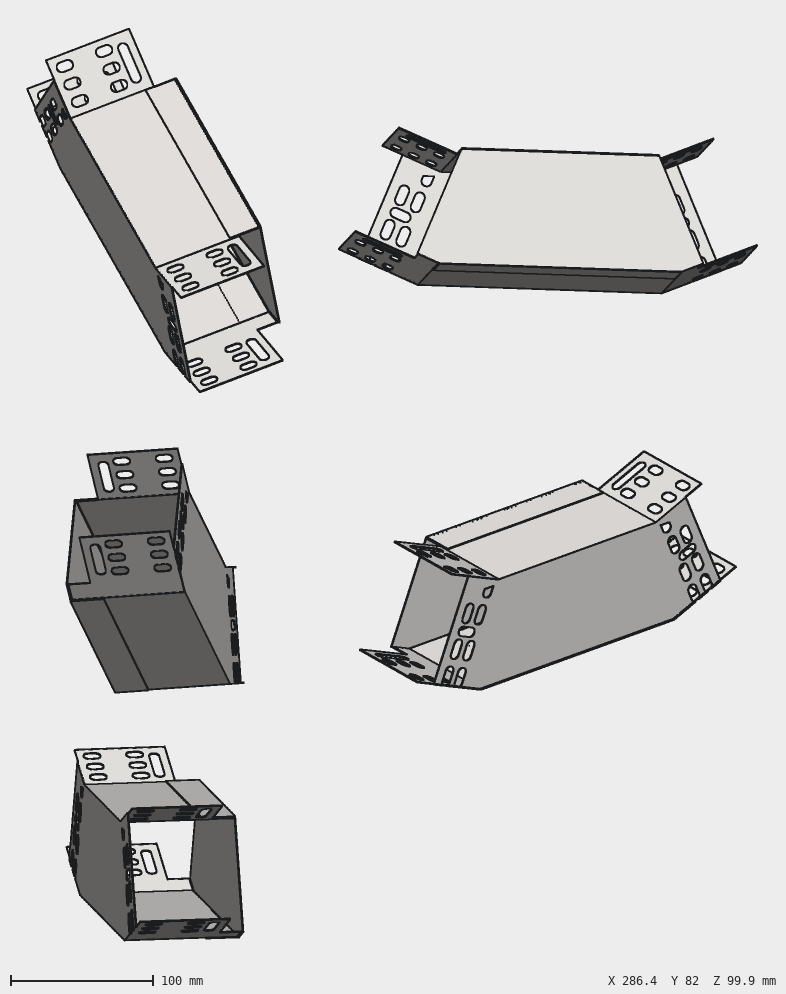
import cadquery as cq
import math


length = 286.4
sheet = 0.77
height = 82.0
depth = 80.5
half_base = 86.8
end_angle = 22.5

web_end = 45.5
wall_end = 15.5

tab_depth = 65.0

cover_back = 82.0
lip_start = 58.0
lip_setback = 0.5

slot_width = 7.2
web_slot_length = 15.0
tab_slot_length = 12.0
long_slot_length = 30.0

web_column_setback = 11.0
web_column_pitch = 12.0
cross_slot_setback = 15.2
inner_row = 13.5
outer_row = 33.8
corner_slot_top = 78.0

tab_column_setback = 8.5
tab_column_pitch = 13.5
tab_columns = 3
tab_row_depths = (11.7, 42.0)
long_slot_setback = 23.0
long_slot_depth = 55.5

cos_end = math.cos(math.radians(end_angle))
sin_end = math.sin(math.radians(end_angle))
miter = math.tan(math.radians(end_angle / 2))
tab_end = (length / 2 - half_base) / cos_end
cover_face = cover_back - sheet
plate_end = height * miter
half_top = half_base - plate_end
mid_height = height / 2
clearance = 5.7


def at(along, across):
    """XZ point of the left end section: along the slope from the bottom bend, and square to it."""
    return (-half_base - along * cos_end + across * sin_end, along * sin_end + across * cos_end)


def prism(points, y_start, y_end):
    """Extrude a closed XZ outline between two Y positions."""
    outline = cq.Workplane("XZ", origin=(0, y_start, 0)).polyline(points).close()
    return outline.extrude(y_start - y_end)


def with_mirror(shape):
    """Add the copy of a shape on the other side of X = 0."""
    return shape.union(shape.mirror("YZ"))


def band(low, high, end, y_start, y_end):
    """Bent layer between two heights, reaching the given distance along both end sections."""
    left = [at(low * miter, low), at(end, low), at(end, high), at(high * miter, high)]
    right = [(-x, z) for x, z in reversed(left)]
    return prism(left + right, y_start, y_end)


def beyond(end, y_start):
    """Tool clearing both end sections past the given distance along them, behind the given Y."""
    far = tab_end + clearance
    low = -clearance
    high = height + clearance
    points = [at(end, low), at(far, low), at(far, high), at(end, high)]
    return with_mirror(prism(points, y_start, depth + clearance))


def web_slot(along, across, slot_length, lean):
    """Slot tool through the web; lean 0 lies along the end section, 90 stands square to it."""
    x, z = at(along, across)
    sketch = cq.Workplane("XZ", origin=(x, -clearance, z)).slot2D(slot_length, slot_width, lean - end_angle)
    return sketch.extrude(-2 * clearance)


def web_slots():
    """All slots of the left web end."""
    outer = web_end - web_column_setback
    inner = outer - web_column_pitch
    slots = web_slot(web_end - cross_slot_setback, mid_height, web_slot_length, 0)
    for along in (outer, inner):
        for row in (-outer_row, -inner_row, inner_row):
            slots = slots.union(web_slot(along, mid_height + row, web_slot_length, 90))
    corner = web_slot(inner, mid_height + outer_row, web_slot_length, 90)
    below_top = cq.Workplane("XY").box(4 * half_base, depth, corner_slot_top, centered=(True, True, False))
    return slots.union(corner.intersect(below_top))


def tab_slot(setback, y, slot_length, turn):
    """Slot tool through the upper and lower left tabs; turn 0 lies along the end section."""
    x, z = at(tab_end - setback, -clearance)
    plane = cq.Plane(origin=(x, y, z), xDir=(-cos_end, 0, sin_end), normal=(sin_end, 0, cos_end))
    return cq.Workplane(plane).slot2D(slot_length, slot_width, turn).extrude(height + 2 * clearance)


def tab_slots():
    """All slots of the left pair of tabs."""
    slots = tab_slot(long_slot_setback, long_slot_depth, long_slot_length, 0)
    for column in range(tab_columns):
        setback = tab_column_setback + column * tab_column_pitch
        for y in tab_row_depths:
            slots = slots.union(tab_slot(setback, y, tab_slot_length, 90))
    return slots


def make_channel():
    """Web with slotted ends, and bottom and top walls that run on into the joining tabs."""
    web = band(0, height, web_end, 0, sheet).cut(with_mirror(web_slots()))
    bottom = band(0, sheet, tab_end, sheet, depth)
    top = band(height - sheet, height, tab_end, sheet, depth)
    walls = bottom.union(top)
    walls = walls.cut(beyond(wall_end, tab_depth)).cut(with_mirror(tab_slots()))
    return web.union(walls)


def cover_lip(bend_to_middle, z):
    """Flat lip over the straight stretch of one wall, from the given height up by one sheet."""
    lip_length = 2 * (bend_to_middle - lip_setback)
    base = cq.Workplane("XY", origin=(0, lip_start, z))
    return base.box(lip_length, cover_back - lip_start, sheet, centered=(True, False, False))


def make_cover():
    """Back plate with a lip lapping over the outside of each wall."""
    left = [at(0, 0), at(plate_end, 0), at(plate_end, height)]
    right = [(-x, z) for x, z in reversed(left)]
    plate = prism(left + right, cover_face, cover_back)
    return plate.union(cover_lip(half_base, -sheet)).union(cover_lip(half_top, height))


channel = make_channel()
cover = make_cover()

result = cq.Compound.makeCompound([channel.val(), cover.val()])